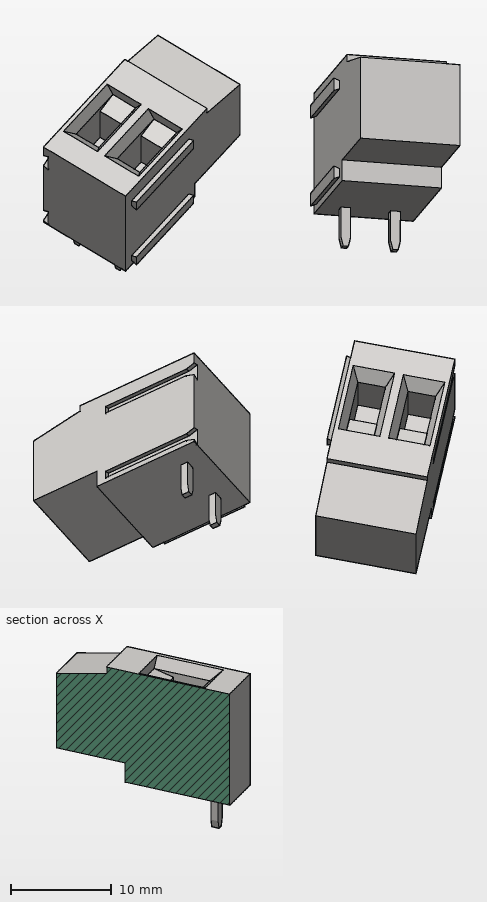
import cadquery as cq


pole_pitch = 5.08
pole_count = 2
housing_width = pole_count * pole_pitch
housing_length = 19.0
housing_height = 12.5
top_length = 13.5
base_length = 11.5
rear_bottom = 2.15
rear_top_low = 10.55
rear_top_high = 11.75
pole_centers = [(index + 0.5) * pole_pitch for index in range(pole_count)]

well_width = 4.2
well_front = 2.75
well_back = 10.0
funnel_depth = 1.15
funnel_side_inset = 0.7
funnel_front_inset = 1.15
well_depth = 6.0
ledge_length = 2.13
ledge_drop = 0.5

dovetail_depth = 0.6
dovetail_flank = 0.25
dovetail_levels = [1.12, 10.25]
groove_length = 10.5
groove_half_width = 0.46
mouth_length = 0.95
mouth_half_width = 0.82
rail_start = 1.0
rail_end = 10.5
rail_half_width = 0.41

pin_width = 1.0
pin_thickness = 0.8
pin_length = 4.0
pin_center_y = 2.5
pin_tip_length = 0.9
pin_tip_width = 0.54


def make_housing():
    """Side outline of the housing, extruded across its full width."""
    outline = [
        (0, 0),
        (base_length, 0),
        (base_length, rear_bottom),
        (housing_length, rear_bottom),
        (housing_length, rear_top_low),
        (top_length, rear_top_high),
        (top_length, housing_height),
        (0, housing_height),
    ]
    return cq.Workplane("YZ").polyline(outline).close().extrude(housing_width)


def make_well(center_x):
    """Funnel-mouthed screw well with a sloping ledge left standing at its back."""
    shaft_width = well_width - 2 * funnel_side_inset
    shaft_front = well_front + funnel_front_inset
    mouth_size_y = well_back - well_front
    shaft_size_y = well_back - shaft_front
    funnel = (
        cq.Workplane("XY", origin=(center_x, 0, housing_height))
        .center(0, (well_front + well_back) / 2)
        .rect(well_width, mouth_size_y)
        .workplane(offset=-funnel_depth)
        .center(0, funnel_front_inset / 2)
        .rect(shaft_width, shaft_size_y)
        .loft(ruled=True)
    )
    funnel_bottom = housing_height - funnel_depth
    floor = housing_height - well_depth
    ledge_front = well_back - ledge_length
    shaft_outline = [
        (shaft_front, funnel_bottom),
        (well_back, funnel_bottom),
        (ledge_front, funnel_bottom - ledge_drop),
        (ledge_front, floor),
        (shaft_front, floor),
    ]
    shaft = (
        cq.Workplane("YZ", origin=(center_x - shaft_width / 2, 0, 0))
        .polyline(shaft_outline)
        .close()
        .extrude(shaft_width)
    )
    return funnel.union(shaft)


def dovetail_section(level, narrow_x, wide_x, half_width):
    """Corners (X, Z) of a dovetail whose narrow side has the given half width."""
    wide_half = half_width + dovetail_flank
    return [
        (narrow_x, level - half_width),
        (wide_x, level - wide_half),
        (wide_x, level + wide_half),
        (narrow_x, level + half_width),
    ]


def make_groove(level):
    """Dovetail groove in the left side, flaring towards the front face."""
    section = dovetail_section(level, 0, dovetail_depth, groove_half_width)
    mouth_section = dovetail_section(level, 0, dovetail_depth, mouth_half_width)
    straight = (
        cq.Workplane("XZ", origin=(0, mouth_length, 0))
        .polyline(section)
        .close()
        .extrude(mouth_length - groove_length)
    )
    mouth = (
        cq.Workplane("XZ", origin=(0, mouth_length, 0))
        .polyline(section)
        .close()
        .workplane(offset=mouth_length)
        .polyline(mouth_section)
        .close()
        .loft(ruled=True)
    )
    return straight.union(mouth)


def make_rail(level):
    """Dovetail rail on the right side, matching the groove of the next block."""
    section = dovetail_section(level, housing_width, housing_width + dovetail_depth, rail_half_width)
    return (
        cq.Workplane("XZ", origin=(0, rail_start, 0))
        .polyline(section)
        .close()
        .extrude(rail_start - rail_end)
    )


def make_pin(center_x):
    """Flat solder pin whose two narrow edges taper at the tip."""
    shank_end = pin_tip_length - pin_length
    outline = [
        (center_x - pin_width / 2, 0),
        (center_x - pin_width / 2, shank_end),
        (center_x - pin_tip_width / 2, -pin_length),
        (center_x + pin_tip_width / 2, -pin_length),
        (center_x + pin_width / 2, shank_end),
        (center_x + pin_width / 2, 0),
    ]
    return (
        cq.Workplane("XZ", origin=(0, pin_center_y, 0))
        .polyline(outline)
        .close()
        .extrude(pin_thickness / 2, both=True)
    )


result = make_housing()
for pole_x in pole_centers:
    result = result.cut(make_well(pole_x)).union(make_pin(pole_x))
for dovetail_level in dovetail_levels:
    result = result.cut(make_groove(dovetail_level)).union(make_rail(dovetail_level))